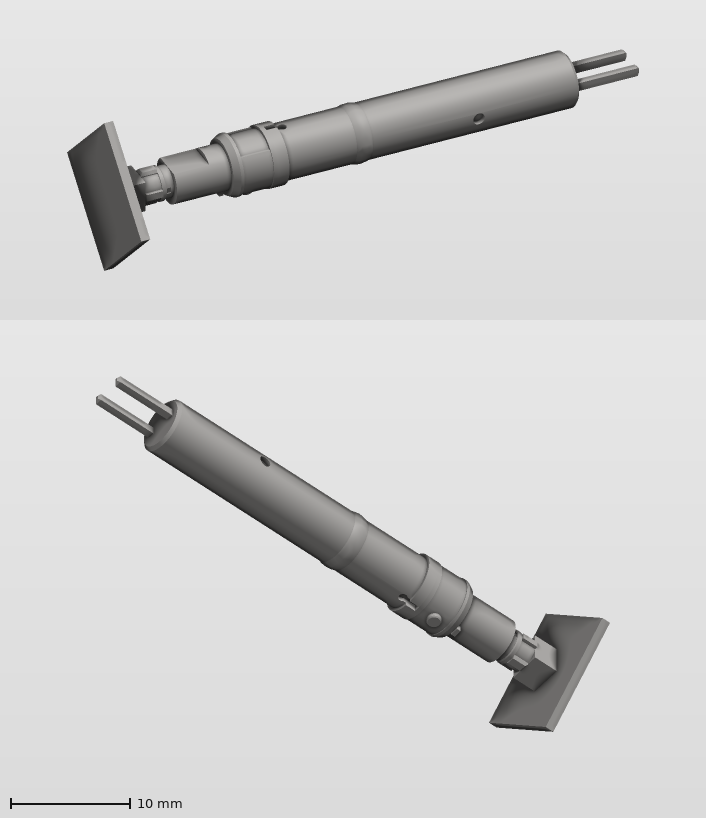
import cadquery as cq


total_length = 48.7
plate_diagonal = 14.85

tube_radius = 2.5
tube_rear_y = 42.8
tube_chamfer = 0.3
rim_radius = 2.8
rim_front_y = 14.85
rim_rear_y = 15.85
press_ring_front_y = 22.2
press_ring_rear_y = 23.65
press_ring_height = 0.15
keyhole_y = 16.4
keyhole_radius = 0.4
keyhole_slot_width = 0.55
side_hole_radius = 0.55

pin_pitch = 2.55
pin_width = 0.65
pin_height = 0.8
pin_tip_chamfer = 0.2
pin_insertion = 2.45

plate_thickness = 0.85
plunger_size = 2.85
square_rear_y = 3.15
tab_rear_y = 4.68
tab_reach = 1.7
side_tab_width = 0.65
upper_tab_top_width = 0.7
upper_tab_base_width = 1.0
upper_tab_chamfer = 0.2
band_radius = 1.55
band_rear_y = 5.1
band_chamfer = 0.1
notch_width = 0.55
notch_length = 0.4
notch_depth = 0.15

barrel_radius = 2.05
nose_front_y = 5.8
nose_flat_rear_y = 9.05
nose_flat_z = 1.5
collar_front_y = 10.8
collar_front_radius = 2.5
collar_taper_rear_y = 11.4
front_flange_rear_y = 11.7
rear_flange_front_y = 14.4
collar_waist_radius = 2.7
window_floor_radius = 2.5
window_floor_z = 1.85
stud_y = 13.0
stud_radius = 0.65
stud_reach = 3.05
stud_chamfer = 0.1
nib_front_y = 10.4
nib_width = 0.8
nib_reach = 2.65
shank_rear_y = 33.45


def rod(radius, front_y, rear_y):
    """Cylinder on the Y axis between two Y positions."""
    return cq.Workplane("XZ", origin=(0, front_y, 0)).circle(radius).extrude(front_y - rear_y)


def block(width, height, front_y, rear_y, x=0, z=0):
    """Box between two Y positions, centred on (x, z)."""
    length = rear_y - front_y
    return cq.Workplane("XY").box(width, length, height).translate((x, front_y + length / 2, z))


def press_ring():
    """Shallow bulge around the tube, with an arc profile."""
    middle_y = (press_ring_front_y + press_ring_rear_y) / 2
    return (
        cq.Workplane("XY")
        .moveTo(barrel_radius, press_ring_front_y)
        .lineTo(tube_radius, press_ring_front_y)
        .threePointArc((tube_radius + press_ring_height, middle_y), (tube_radius, press_ring_rear_y))
        .lineTo(barrel_radius, press_ring_rear_y)
        .close()
        .revolve(360, (0, 0, 0), (0, 1, 0))
    )


def keyholes():
    """Round-ended slots that split the rim above and below."""
    ends = cq.Workplane("XY").center(0, keyhole_y).circle(keyhole_radius).extrude(rim_radius, both=True)
    return ends.union(block(keyhole_slot_width, 2 * rim_radius, rim_front_y, keyhole_y))


def side_holes():
    """Holes in the tube wall on +X and -X, level with the rear end of the shank.

    They reach only as deep as the bore radius.
    """
    drill = cq.Workplane("YZ").center(shank_rear_y, 0).circle(side_hole_radius)
    drill = drill.extrude(tube_radius, both=True)
    core = rod(barrel_radius, shank_rear_y - 2 * side_hole_radius, shank_rear_y + 2 * side_hole_radius)
    return drill.cut(core)


def terminal_pin(x):
    front_y = tube_rear_y - pin_insertion
    pin = block(pin_width, pin_height, front_y, total_length, x=x)
    return pin.faces(">Y").chamfer(pin_tip_chamfer)


def receptacle_tube(pins):
    tube = rod(tube_radius, rim_front_y, tube_rear_y).faces(">Y").chamfer(tube_chamfer)
    tube = tube.union(rod(rim_radius, rim_front_y, rim_rear_y)).union(press_ring())
    tube = tube.cut(rod(barrel_radius, rim_front_y, shank_rear_y))
    tube = tube.cut(keyholes()).cut(side_holes())
    for pin in pins:
        tube = tube.cut(pin)
    return tube


def guide_tabs():
    """Four tabs on the round rod: straight ones on +X and -X, tapered ones above and below."""
    tabs = block(2 * tab_reach, side_tab_width, square_rear_y, tab_rear_y)
    base_z = plunger_size / 2
    upper_tab = (
        cq.Workplane("XZ", origin=(0, square_rear_y, 0))
        .polyline([
            (-upper_tab_base_width / 2, 0),
            (-upper_tab_base_width / 2, base_z),
            (-upper_tab_top_width / 2, tab_reach),
            (upper_tab_top_width / 2, tab_reach),
            (upper_tab_base_width / 2, base_z),
            (upper_tab_base_width / 2, 0),
        ])
        .close()
        .extrude(square_rear_y - tab_rear_y)
        .edges(">Z and <Y")
        .chamfer(upper_tab_chamfer)
    )
    return tabs.union(upper_tab).union(upper_tab.mirror("XY"))


def plunger():
    """Diamond contact plate, square bar and round rod with four guide tabs."""
    plate = (
        cq.Workplane("XZ")
        .polyline([
            (plate_diagonal / 2, 0),
            (0, plate_diagonal / 2),
            (-plate_diagonal / 2, 0),
            (0, -plate_diagonal / 2),
        ])
        .close()
        .extrude(-plate_thickness)
    )
    bar = block(plunger_size, plunger_size, plate_thickness, square_rear_y)
    round_rod = rod(plunger_size / 2, square_rear_y, nose_front_y)
    band = rod(band_radius, tab_rear_y, band_rear_y).faces(">Y").chamfer(band_chamfer)
    body = plate.union(bar).union(round_rod).union(band).union(guide_tabs())
    for side in (-1, 1):
        notch_x = side * plunger_size / 2
        notch_rear_y = band_rear_y + notch_length
        body = body.cut(block(2 * notch_depth, notch_width, band_rear_y, notch_rear_y, x=notch_x))
    return body


def collar():
    """Flanged collar, tapered in front, with a window on top, and a stud and a nib below."""
    front_flange = (
        cq.Workplane("XY")
        .moveTo(0, front_flange_rear_y)
        .lineTo(rim_radius, front_flange_rear_y)
        .lineTo(rim_radius, collar_taper_rear_y)
        .lineTo(collar_front_radius, collar_front_y)
        .lineTo(0, collar_front_y)
        .close()
        .revolve(360, (0, 0, 0), (0, 1, 0))
    )
    rear_flange = rod(rim_radius, rear_flange_front_y, rim_front_y)

    waist = rod(collar_waist_radius, front_flange_rear_y, rear_flange_front_y)
    above_window = block(
        2 * rim_radius,
        rim_radius,
        front_flange_rear_y,
        rear_flange_front_y,
        z=window_floor_z + rim_radius / 2,
    )
    window_floor = rod(window_floor_radius, front_flange_rear_y, rear_flange_front_y)
    waist = waist.cut(above_window).union(window_floor)

    stud = cq.Workplane("XY").center(0, stud_y).circle(stud_radius).extrude(-stud_reach)
    stud = stud.faces("<Z").chamfer(stud_chamfer)
    nib = block(nib_width, nib_reach, nib_front_y, collar_front_y, z=-nib_reach / 2)
    return front_flange.union(rear_flange).union(waist).union(stud).union(nib)


def contact_probe():
    flat = block(
        2 * barrel_radius,
        barrel_radius,
        nose_front_y,
        nose_flat_rear_y,
        z=nose_flat_z + barrel_radius / 2,
    )
    barrel = rod(barrel_radius, nose_front_y, shank_rear_y).cut(flat)
    return barrel.union(collar()).union(plunger())


pins = [terminal_pin(side * pin_pitch / 2) for side in (-1, 1)]
receptacle = receptacle_tube(pins)
probe = contact_probe()

result = cq.Compound.makeCompound([receptacle.val(), probe.val(), *[pin.val() for pin in pins]])